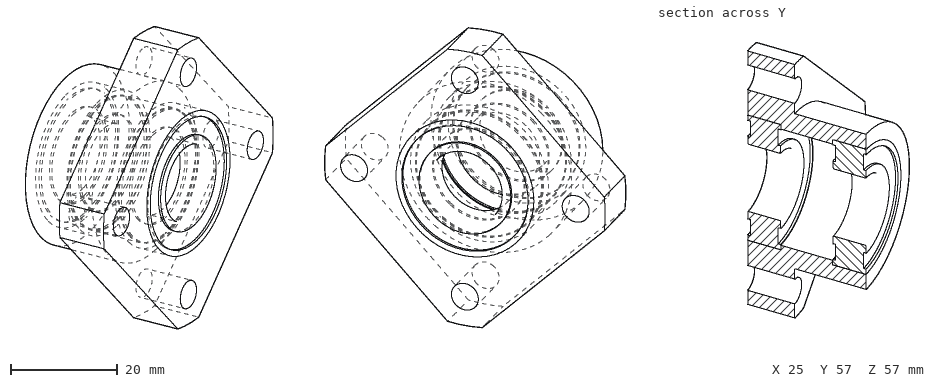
import cadquery as cq

overall_length = 25.0
flange_thickness = 10.0
hub_length = overall_length - flange_thickness
hub_diameter = 34.95

flange_corner_diameter = 57.0
flange_square_side = 45.0
bolt_circle_diameter = 45.0
bolt_hole_diameter = 5.5
bolt_hole_count = 4

bearing_outer_diameter = 28.0
bearing_bore_diameter = 15.0
bearing_width = 7.0
bearing_bore_fillet = 0.3
shield_outer_diameter = 25.65
shield_inner_diameter = 18.65
shield_recess_depth = 0.5

shoulder_bore_diameter = 26.0


def cylinder(diameter, length, start_x=0.0):
    """Solid cylinder along X that begins at start_x."""
    return cq.Workplane("YZ", origin=(start_x, 0, 0)).circle(diameter / 2).extrude(length)


def make_flange():
    square = (
        cq.Workplane("YZ", origin=(hub_length, 0, 0))
        .transformed(rotate=(0, 0, 45))
        .rect(flange_square_side, flange_square_side)
        .extrude(flange_thickness)
    )
    rounded = square.intersect(cylinder(flange_corner_diameter, flange_thickness, hub_length))
    bolt_holes = (
        cq.Workplane("YZ", origin=(hub_length, 0, 0))
        .polarArray(bolt_circle_diameter / 2, 0, 360, bolt_hole_count)
        .circle(bolt_hole_diameter / 2)
        .extrude(flange_thickness)
    )
    return rounded.cut(bolt_holes)


def make_housing(bearing_starts):
    """Flanged hub with a through bore and a bearing seat at each end."""
    housing = cylinder(hub_diameter, overall_length).union(make_flange())
    housing = housing.cut(cylinder(shoulder_bore_diameter, overall_length))
    for start_x in bearing_starts:
        housing = housing.cut(cylinder(bearing_outer_diameter, bearing_width, start_x))
    return housing


def make_bearing(start_x):
    """Bearing with rounded bore edges and a shallow shield recess in both faces."""
    body = cylinder(bearing_outer_diameter, bearing_width, start_x)
    body = body.cut(cylinder(bearing_bore_diameter, bearing_width, start_x))
    bore_edges = body.edges(cq.selectors.RadiusNthSelector(0))
    body = bore_edges.fillet(bearing_bore_fillet)
    end_x = start_x + bearing_width
    for recess_x in (start_x, end_x - shield_recess_depth):
        recess = cylinder(shield_outer_diameter, shield_recess_depth, recess_x).cut(
            cylinder(shield_inner_diameter, shield_recess_depth, recess_x)
        )
        body = body.cut(recess)
    return body


bearing_starts = (0.0, overall_length - bearing_width)

housing = make_housing(bearing_starts)
bearings = [make_bearing(start_x) for start_x in bearing_starts]

result = cq.Compound.makeCompound([housing.val(), *[bearing.val() for bearing in bearings]])